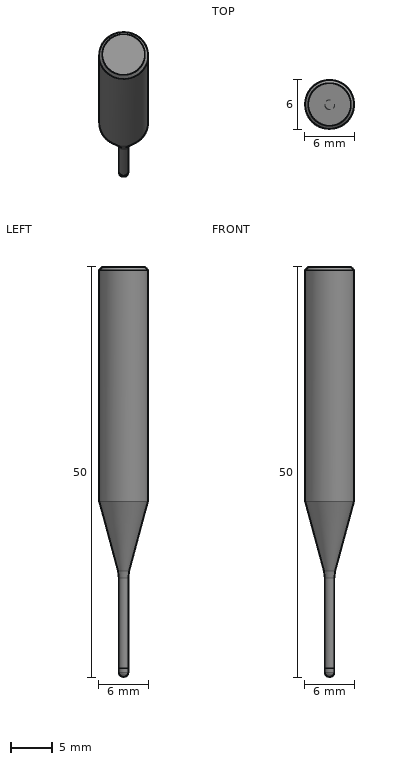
import cadquery as cq
import math

total_length = 50.0
shank_radius = 3.0
shank_chamfer = 0.4
cone_top = 21.45
cone_bottom = 12.95
collar_radius = 0.7
neck_top = 12.1
neck_radius = 0.6
tip_radius = 0.6
tip_length = 1.05


def make_holder():
    """Chamfered shank, cone, tapering collar and slender neck, ending on the cutting tip."""
    profile = (
        cq.Workplane("XZ")
        .moveTo(0, tip_length)
        .lineTo(neck_radius, tip_length)
        .lineTo(neck_radius, neck_top)
        .lineTo(collar_radius, cone_bottom)
        .lineTo(shank_radius, cone_top)
        .lineTo(shank_radius, total_length - shank_chamfer)
        .lineTo(shank_radius - shank_chamfer, total_length)
        .lineTo(0, total_length)
        .close()
    )
    return profile.revolve(360, (0, 0, 0), (0, 1, 0))


def make_cutting_tip():
    """Short cylinder with a hemispherical end."""
    arc_offset = tip_radius * math.sqrt(0.5)
    profile = (
        cq.Workplane("XZ")
        .moveTo(0, 0)
        .threePointArc((arc_offset, tip_radius - arc_offset), (tip_radius, tip_radius))
        .lineTo(tip_radius, tip_length)
        .lineTo(0, tip_length)
        .close()
    )
    return profile.revolve(360, (0, 0, 0), (0, 1, 0))


holder = make_holder()
cutting_tip = make_cutting_tip()

result = cq.Compound.makeCompound([holder.val(), cutting_tip.val()])